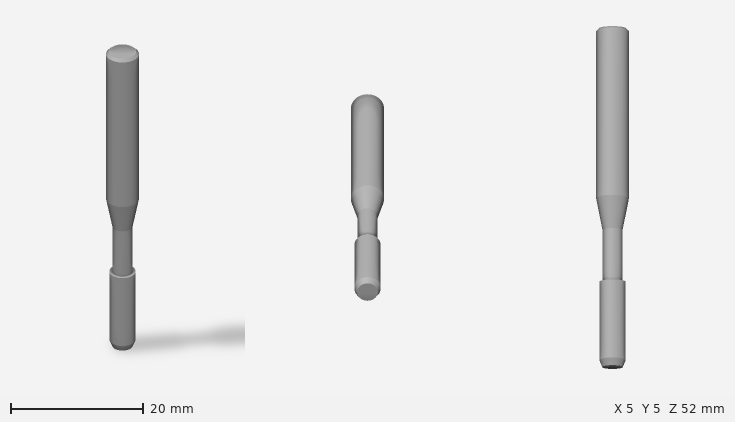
import cadquery as cq

TOTAL_LENGTH = 52.0
CUTTER_LENGTH = 13.1
NECK_LENGTH = 8.0
TAPER_LENGTH = 4.9
TIP_CHAMFER_LENGTH = 1.1
SHANK_CHAMFER = 0.4

SHANK_DIAMETER = 5.0
CUTTER_DIAMETER = 4.0
NECK_DIAMETER = 3.05
TIP_DIAMETER = 3.1

NECK_TOP = CUTTER_LENGTH + NECK_LENGTH
TAPER_TOP = NECK_TOP + TAPER_LENGTH


def revolve_profile(outline):
    """Revolve a closed radius-height outline about the Z axis."""
    return cq.Workplane("XZ").polyline(outline).close().revolve(360, (0, 0, 0), (0, 1, 0))


def make_cutter():
    """Cylindrical cutting head with a conical tip."""
    cutter_radius = CUTTER_DIAMETER / 2
    return revolve_profile([
        (0, 0),
        (TIP_DIAMETER / 2, 0),
        (cutter_radius, TIP_CHAMFER_LENGTH),
        (cutter_radius, CUTTER_LENGTH),
        (0, CUTTER_LENGTH),
    ])


def make_shank():
    """Slim neck widening through a taper into the shank, chamfered at its top end."""
    neck_radius = NECK_DIAMETER / 2
    shank_radius = SHANK_DIAMETER / 2
    return revolve_profile([
        (0, CUTTER_LENGTH),
        (neck_radius, CUTTER_LENGTH),
        (neck_radius, NECK_TOP),
        (shank_radius, TAPER_TOP),
        (shank_radius, TOTAL_LENGTH - SHANK_CHAMFER),
        (shank_radius - SHANK_CHAMFER, TOTAL_LENGTH),
        (0, TOTAL_LENGTH),
    ])


cutter = make_cutter()
shank = make_shank()

result = cq.Compound.makeCompound([cutter.val(), shank.val()])